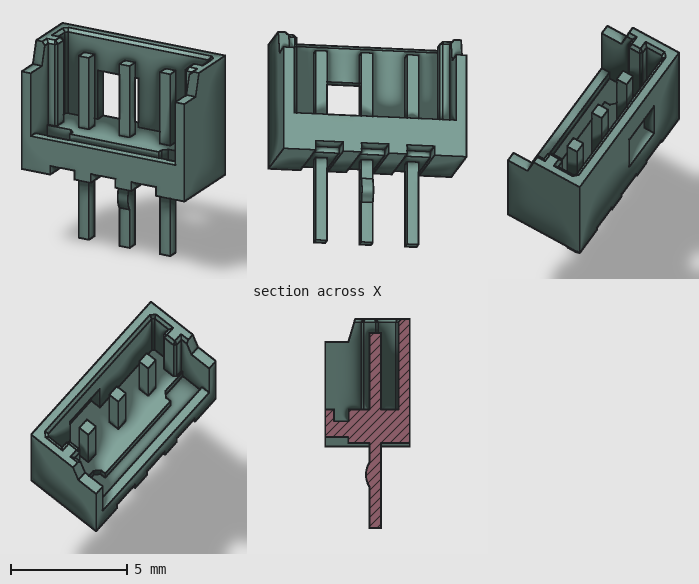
import cadquery as cq


width = 8.0
depth = 3.65
height = 5.5
side_wall = 0.45
back_wall = 0.5
sill_thickness = 0.4
floor_z = 1.6

rim_chamfer = 0.14
corner_chamfer = 0.1
rib_reach = 0.41
rib_width = 0.73
rib_front_y = 1.56

shoulder_drop = 1.0
shoulder_y = 1.0
slope_run = 0.3

trough_depth = 0.5
trough_narrow_y = 1.02
trough_wide_y = 1.485
tongue_width = 4.365
tongue_corner = 0.22

window_height = 2.25

pitch = 2.0
pin_size = 0.5
pin_y = depth - 1.49
overall_height = 9
pin_below = overall_height - height
pin_top_drop = 0.6
pin_positions = [-pitch, 0, pitch]

bump_rise = 0.15
bump_length = 1.05
bump_z = -1.21

groove_width = 1.2
groove_depth = 0.15
groove_mouth_height = 0.405
groove_mouth_length = 1.0

inner_half = width / 2 - side_wall
inner_width = 2 * inner_half
cavity_back_y = depth - back_wall
pin_front_y = pin_y - pin_size / 2


def box(x_center, x_size, y_start, y_end, z_start, z_end):
    """Upright block centred on x_center, spanning the given Y and Z ranges."""
    block = cq.Workplane("XY").box(x_size, y_end - y_start, z_end - z_start, centered=(True, False, False))
    return block.translate((x_center, y_start, z_start))


def make_cavity():
    """Cavity with bevelled back corners and a bevelled key rib on each side."""
    cavity = box(0, inner_width, sill_thickness, cavity_back_y, floor_z, height)
    cavity = cavity.edges("|Z and >Y").chamfer(corner_chamfer)
    for side in (-1, 1):
        rib_center = side * (inner_half - rib_reach / 2)
        rib = box(rib_center, rib_reach, rib_front_y, rib_front_y + rib_width, floor_z, height)
        tip_edges = "|Z and >X" if side < 0 else "|Z and <X"
        cavity = cavity.cut(rib.edges(tip_edges).chamfer(corner_chamfer))
    return cavity


def make_trough():
    """Recess in the cavity floor that leaves a bevelled tongue in the middle."""
    trough = box(0, inner_width, sill_thickness, trough_wide_y, floor_z - trough_depth, floor_z)
    tongue = box(0, tongue_width, trough_narrow_y, trough_wide_y, floor_z - trough_depth, floor_z)
    for side in (-1, 1):
        edge_x = side * tongue_width / 2
        flare = (
            cq.Workplane("XY")
            .workplane(offset=floor_z - trough_depth)
            .moveTo(edge_x, trough_wide_y)
            .lineTo(edge_x + side * tongue_corner, trough_wide_y)
            .lineTo(edge_x, trough_wide_y - tongue_corner)
            .close()
            .extrude(trough_depth)
        )
        tongue = tongue.union(flare)
    return trough.cut(tongue)


def make_shoulder_cut():
    """Removes the upper front of the housing, leaving sloped side walls."""
    shoulder_z = height - shoulder_drop
    return (
        cq.Workplane("YZ")
        .moveTo(0, shoulder_z)
        .lineTo(shoulder_y, shoulder_z)
        .lineTo(shoulder_y + slope_run, height)
        .lineTo(0, height)
        .close()
        .extrude(width / 2, both=True)
    )


def make_groove(x):
    """Groove along the underside, taller at the front face."""
    channel = box(x, groove_width, 0, depth, 0, groove_depth)
    mouth = box(x, groove_width, 0, groove_mouth_length, 0, groove_mouth_height)
    return channel.union(mouth)


def make_housing():
    housing = box(0, width, 0, depth, 0, height).cut(make_cavity())
    housing = housing.faces(">Z").wires(cq.selectors.AreaNthSelector(0)).chamfer(rim_chamfer)
    housing = housing.cut(box(0, inner_width, 0, sill_thickness + rim_chamfer, floor_z, height))
    housing = housing.cut(make_trough()).cut(make_shoulder_cut())
    housing = housing.cut(
        box(-pitch / 2, pitch, cavity_back_y, depth, floor_z, floor_z + window_height)
    )
    for x in pin_positions:
        housing = housing.cut(make_groove(x))
    return housing


def make_pin(x):
    return box(x, pin_size, pin_front_y, pin_front_y + pin_size, -pin_below, height - pin_top_drop)


def make_bump():
    """Rounded bump on the front face of the middle pin."""
    return (
        cq.Workplane("YZ")
        .moveTo(pin_front_y, bump_z - bump_length / 2)
        .threePointArc((pin_front_y - bump_rise, bump_z), (pin_front_y, bump_z + bump_length / 2))
        .close()
        .extrude(pin_size / 2, both=True)
    )


result = make_housing()
for x in pin_positions:
    result = result.union(make_pin(x))
result = result.union(make_bump())